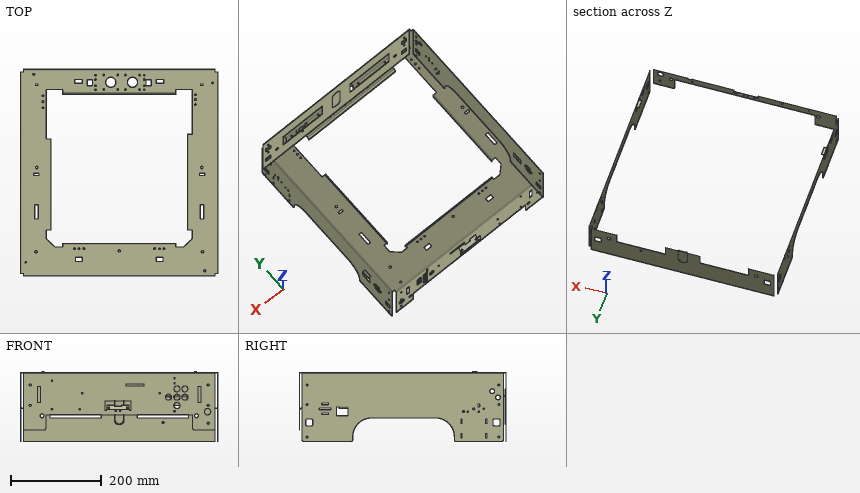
import cadquery as cq
import math

length_x = 435.0
length_y = 455.0
height = 154.0
sheet = 1.0
bend_inside = 1.0
pin_rise = 2.0

half_x = length_x / 2
half_y = length_y / 2
bottom_z = -height / 2
top_z = height / 2 - pin_rise
bend_outside = bend_inside + sheet

end_wall_half = 210.5
side_wall_half = 221.5
cut_depth = 18.0

screw_hole = 4.0
bolt_hole = 5.0
tapped_hole = 3.5
small_hole = 3.0
rivet_hole = 2.55
pilot_hole = 2.0



def plane_front(y):
    return cq.Workplane("XZ", origin=(0, y, 0))


def plane_side(x):
    return cq.Workplane("YZ", origin=(x, 0, 0))


def plane_top():
    return cq.Workplane("XY", origin=(0, 0, top_z - sheet / 2))


def round_cutters(plane, spots, diameter):
    return plane.pushPoints(spots).circle(diameter / 2).extrude(cut_depth / 2, both=True)


def box_cutters(plane, spots, size):
    return plane.pushPoints(spots).rect(*size).extrude(cut_depth / 2, both=True)


def mirrored(spots):
    return spots + [(-across, up) for across, up in spots]


def block(x0, x1, y0, y1, z0, z1):
    return cq.Workplane("XY").box(x1 - x0, y1 - y0, z1 - z0, centered=False).translate((x0, y0, z0))




def channel(width_x, width_y, bend_axis):
    tall = top_z - bottom_z
    hollow_x = width_x - (2 * sheet if bend_axis == "Y" else 0)
    hollow_y = width_y - (2 * sheet if bend_axis == "X" else 0)
    outer = cq.Workplane("XY").box(width_x, width_y, tall)
    outer = outer.faces(">Z").edges("|" + bend_axis).fillet(bend_outside)
    inner = cq.Workplane("XY").box(hollow_x, hollow_y, tall)
    inner = inner.faces(">Z").edges("|" + bend_axis).fillet(bend_inside)
    return outer.cut(inner.translate((0, 0, -sheet))).translate((0, 0, bottom_z + tall / 2))


opening_half_x = 160.0
opening_back_y = 182.5
side_lip_x = 149.5
back_lip_y = 172.5
front_lip_y = -155.0
end_lip_half = 124.5
lip_front_end = -126.0
left_lip_back_end = 74.5
right_lip_back_end = 85.0
lip_drop = 9.0
back_lip_bend = 4.0


def opening_cutter():
    diagonal_start_y = -145.0
    diagonal_end_x = 141.5
    relief_y = -163.0
    side_edge_x = side_lip_x + bend_outside
    front_edge_y = front_lip_y - bend_outside
    back_edge_y = back_lip_y + back_lip_bend
    points = [
        (end_lip_half, opening_back_y),
        (opening_half_x, opening_back_y),
        (opening_half_x, right_lip_back_end),
        (side_edge_x, right_lip_back_end),
        (side_edge_x, lip_front_end),
        (opening_half_x, lip_front_end),
        (opening_half_x, diagonal_start_y),
        (diagonal_end_x, relief_y),
        (end_lip_half, relief_y),
        (end_lip_half, front_edge_y),
        (-end_lip_half, front_edge_y),
        (-end_lip_half, relief_y),
        (-diagonal_end_x, relief_y),
        (-opening_half_x, diagonal_start_y),
        (-opening_half_x, lip_front_end),
        (-side_edge_x, lip_front_end),
        (-side_edge_x, left_lip_back_end),
        (-opening_half_x, left_lip_back_end),
        (-opening_half_x, opening_back_y),
        (-end_lip_half, opening_back_y),
        (-end_lip_half, back_edge_y),
        (end_lip_half, back_edge_y),
    ]
    return plane_top().polyline(points).close().extrude(cut_depth / 2, both=True)


def lip(length, bend):
    """A bent lip along +X whose lower, upright face looks towards -Y at y = 0."""
    return (
        cq.Workplane("YZ")
        .moveTo(bend, top_z)
        .radiusArc((0, top_z - bend), -bend)
        .lineTo(0, top_z - lip_drop)
        .lineTo(sheet, top_z - lip_drop)
        .lineTo(sheet, top_z - bend)
        .radiusArc((bend, top_z - sheet), bend - sheet)
        .close()
        .extrude(length)
    )


def opening_lips():
    placements = [
        (2 * end_lip_half, back_lip_bend, 0, (-end_lip_half, back_lip_y, 0)),
        (2 * end_lip_half, bend_outside, 180, (end_lip_half, front_lip_y, 0)),
        (left_lip_back_end - lip_front_end, bend_outside, 90, (-side_lip_x, lip_front_end, 0)),
        (right_lip_back_end - lip_front_end, bend_outside, -90, (side_lip_x, right_lip_back_end, 0)),
    ]
    lips = cq.Workplane("XY")
    for length, bend, turn, start in placements:
        lips = lips.add(lip(length, bend).rotate((0, 0, 0), (0, 0, 1), turn).translate(start))
    return lips.combine()


left_pin = (-168.0, 156.0)
right_pin = (167.5, 160.5)
pin_diameter = 4.5
fan_hole = 22.0
fan_screw_across = 15.5
fan_screw_up = 16.0
centre_hole = 4.5
oblong_hole = (5.0, 3.0)
plug_opening = (16.5, 7.7)
socket_opening = (11.5, 12.7)
short_slot = (11.0, 4.5)
long_slot = (7.0, 31.0)
front_opening = (14.5, 8.5)


def top_plate_cutters():
    plane = plane_top()
    fan_holes = [(-18.5, 199.0), (29.0, 199.0)]
    fan_screws = [
        (x + sx * fan_screw_across, y + sy * fan_screw_up)
        for x, y in fan_holes
        for sx in (-1, 1)
        for sy in (-1, 1)
    ]
    socket_screws = [(x, y) for x in (-52.5, 55.0) for y in (182.5, 191.0, 204.8, 214.5)]
    pin_side_holes = [(-168.0, 169.3), (-168.0, 143.0), (167.5, 171.5), (167.5, 149.5)]
    corner_holes = [(-205.5, -197.0), (205.0, 197.5)]
    front_row_middle = mirrored([(88.3, -167.0)])
    front_row_ends = mirrored([(78.0, -167.0), (98.5, -167.0)])
    small_holes = fan_screws + socket_screws + pin_side_holes + corner_holes + front_row_middle
    return [
        round_cutters(plane, fan_holes, fan_hole),
        round_cutters(plane, small_holes, small_hole),
        round_cutters(plane, front_row_ends, tapped_hole),
        round_cutters(plane, [(-188.0, 216.0), (188.0, -215.5)], screw_hole),
        round_cutters(plane, mirrored([(181.5, 11.5), (183.0, -174.0)]), bolt_hole),
        round_cutters(plane, [(0, -172.0)], centre_hole),
        box_cutters(plane, mirrored([(181.5, 193.5)]), oblong_hole),
        box_cutters(plane, mirrored([(89.5, 200.5)]), plug_opening),
        box_cutters(plane, mirrored([(64.5, 198.0)]), socket_opening),
        box_cutters(plane, mirrored([(182.0, -3.5)]), short_slot),
        box_cutters(plane, mirrored([(182.0, -86.0)]), long_slot),
        box_cutters(plane, mirrored([(88.5, -190.5)]), front_opening),
    ]


def pins():
    base = cq.Workplane("XY", origin=(0, 0, top_z - sheet))
    return base.pushPoints([left_pin, right_pin]).circle(pin_diameter / 2).extrude(sheet + pin_rise)


corner_screws = mirrored([(195.5, 48.0), (195.5, 2.7)])
cable_holes = mirrored([(169.5, -20.0)])
cable_hole = 8.0
square_hole = (14.5, 14.5)
square_hole_radius = 2.0

front_y = -half_y + sheet / 2
foot_z = -51.5
front_edge_z = -17.7
foot_inner_x = 161.5
foot_corner_radius = 3.5
gap_corner_radius = 2.5
window_x0 = -31.0
window_x1 = 25.5
window_z0 = -6.0
window_z1 = 12.7
slit = (2.7, 5.5)
flap_inset = 4.0
flap_reach = 12.0
flap_rise = 10.0
flap_notch_width = 14.5
flap_notch_depth = 2.7
flap_hole_inset = 4.0
flap_hole_reach = 5.0
flap_root_across = 4.5
flap_root_z = -9.0
strap_slot = (7.5, 35.0)
card_slot = (40.0, 3.5)
button_hole = 13.0
lock_hole = 14.0


def front_outline_cutters():
    below_feet = block(-half_x, half_x, -half_y, -half_y + cut_depth, bottom_z, foot_z)
    gap = block(-foot_inner_x, foot_inner_x, -half_y, -half_y + cut_depth, foot_z, front_edge_z)
    return [below_feet, gap.faces(">Z").edges("|Y").fillet(gap_corner_radius)]


def front_wall_cutters():
    plane = plane_front(front_y)
    window_mid = ((window_x0 + window_x1) / 2, (window_z0 + window_z1) / 2)
    window = (window_x1 - window_x0, window_z1 - window_z0)
    slit_spots = [(window_x0 + slit[0] / 2, window_z0), (window_x1 - slit[0] / 2, window_z0)]
    flap_root_holes = [(window_mid[0] + side * flap_root_across, flap_root_z) for side in (-1, 1)]
    buttons = [(108.5, 21.0), (127.0, 21.0), (144.2, 21.0), (127.0, 39.0), (144.2, 39.0), (127.0, 2.7)]
    button_screws = [(121.5, 63.0), (121.5, 51.5), (121.5, -10.0)]
    return [
        box_cutters(plane, [window_mid], window),
        box_cutters(plane, slit_spots, slit),
        box_cutters(plane, mirrored([(176.5, 26.5)]), strap_slot),
        box_cutters(plane, [(34.5, 48.0)], card_slot),
        round_cutters(plane, buttons, button_hole),
        round_cutters(plane, [(194.5, -11.0)], lock_hole),
        round_cutters(plane, cable_holes, cable_hole),
        round_cutters(plane, corner_screws + [(195.5, -36.5)], screw_hole),
        round_cutters(plane, [(-81.5, 29.5), (88.5, 29.5)], tapped_hole),
        round_cutters(plane, button_screws + flap_root_holes + [(-148.0, 57.5)], small_hole),
        round_cutters(plane, [(-148.0, -5.5), (-86.5, -5.5)], rivet_hole),
    ]


def window_flap():
    flap_x0 = window_x0 + flap_inset
    flap_x1 = window_x1 - flap_inset
    flap_mid = (flap_x0 + flap_x1) / 2
    upright = sheet / math.cos(math.atan2(flap_rise, flap_reach))
    tip_y = -half_y + flap_reach
    flap = (
        plane_side(flap_x0)
        .moveTo(-half_y, window_z0 - upright)
        .lineTo(tip_y, window_z0 + flap_rise - upright)
        .lineTo(tip_y, window_z0 + flap_rise)
        .lineTo(-half_y, window_z0)
        .close()
        .extrude(flap_x1 - flap_x0)
    )
    notch = block(
        flap_mid - flap_notch_width / 2, flap_mid + flap_notch_width / 2,
        tip_y - flap_notch_depth, tip_y,
        window_z0, window_z1,
    )
    holes = (
        cq.Workplane("XY", origin=(0, -half_y + flap_hole_reach, window_z0))
        .pushPoints([(flap_x0 + flap_hole_inset, 0), (flap_x1 - flap_hole_inset, 0)])
        .circle(small_hole / 2)
        .extrude(flap_rise)
    )
    return flap.cut(notch).cut(holes)


back_y = half_y - sheet / 2
bay_x0 = 40.0
bay_x1 = 152.0
bay_z0 = -24.5
shelf_z = 23.5
panel_y = 219.5
panel_x0 = 42.8
panel_x1 = 149.2
panel_z0 = 2.5
panel_screw_z = 15.5
panel_screw_across = 38.0
tongue_x0 = 94.5
tongue_x1 = 119.5
tongue_slit_left = 4.5
tongue_slit_right = 1.5
boss_z = 14.5
boss_diameter = 16.0
boss_rise = 0.5
back_corner_radius = 2.5
bead_width = 22.0
bead_length = 79.0
bead_rise = 2.0
bead_slope = 1.77


def back_wall_cutters():
    plane = plane_front(back_y)
    bay_mid = ((bay_x0 + bay_x1) / 2, (bay_z0 + shelf_z) / 2)
    bay = (bay_x1 - bay_x0, shelf_z - bay_z0)
    squares = box_cutters(plane, mirrored([(195.0, 25.0), (195.0, -34.0)]), square_hole)
    return [
        box_cutters(plane, mirrored([bay_mid]), bay),
        squares.edges("|Y").fillet(square_hole_radius),
        round_cutters(plane, cable_holes, cable_hole),
        round_cutters(plane, corner_screws + [(96.5, -34.5)], screw_hole),
    ]


def hanging_panel():
    panel_mid = (panel_x0 + panel_x1) / 2
    folded = (
        block(panel_x0, panel_x1, panel_y, half_y, panel_z0, shelf_z)
        .faces("<Y").edges(">Z").fillet(bend_outside)
    )
    hollow = (
        block(panel_x0, panel_x1, panel_y + sheet, half_y, panel_z0, shelf_z - sheet)
        .faces("<Y").edges(">Z").fillet(bend_inside)
    )
    screws = [(panel_mid + side * panel_screw_across, panel_screw_z) for side in (-1, 1)]
    screw_cutters = round_cutters(plane_front(panel_y), screws, tapped_hole)
    return folded.cut(hollow).cut(screw_cutters)


def add_tongue(panel):
    slit_top = shelf_z - bend_outside
    spans = [(tongue_x0 - tongue_slit_left, tongue_x0), (tongue_x1, tongue_x1 + tongue_slit_right)]
    for x0, x1 in spans:
        panel = panel.cut(block(x0, x1, panel_y, panel_y + sheet, panel_z0, slit_top))
    boss_x = (tongue_x0 + tongue_x1) / 2
    boss = (
        plane_front(panel_y + sheet)
        .center(boss_x, boss_z)
        .circle(boss_diameter / 2)
        .extrude(sheet + boss_rise)
    )
    return panel.union(boss)


def stiffening_bead():
    bead = plane_front(half_y).slot2D(bead_length, bead_width, 90).extrude(sheet + bead_rise)
    return bead.faces("<Y").chamfer(bead_slope)


arch_back_y = 113.5
arch_front_y = -109.5
arch_z = -25.0
arch_radius = 41.0
side_corner_radius = 4.5


def arch_cutter():
    return (
        plane_side(-half_x)
        .moveTo(arch_front_y, bottom_z)
        .lineTo(arch_front_y, arch_z - arch_radius)
        .radiusArc((arch_front_y + arch_radius, arch_z), arch_radius)
        .lineTo(arch_back_y - arch_radius, arch_z)
        .radiusArc((arch_back_y, arch_z - arch_radius), arch_radius)
        .lineTo(arch_back_y, bottom_z)
        .close()
        .extrude(length_x)
    )


tab_window_y0 = -145.5
tab_window_y1 = -120.5
tab_window_z0 = -19.5
tab_window_z1 = -1.0
tab_z = -2.7
tab_reach = 7.5
tab_inset = 5.5
vent_y = -170.5
short_vent = (14.5, 3.0)
long_vent = (25.5, 3.0)
key_slot = (3.0, 6.5)
tie_slot = (5.0, 2.0)
hanger_slot = (2.7, 9.0)
bush_hole = 10.0


def side_wall_cutters(x):
    plane = plane_side(x)
    window_mid = ((tab_window_y0 + tab_window_y1) / 2, (tab_window_z0 + tab_window_z1) / 2)
    window = (tab_window_y1 - tab_window_y0, tab_window_z1 - tab_window_z0)
    wall_screws = [(y, z) for y in (211.0, -210.0) for z in (48.0, 4.5, -67.0)]
    squares = box_cutters(plane, [(206.0, -34.5), (-205.5, -34.5)], square_hole)
    return [
        squares.edges("|X").fillet(square_hole_radius),
        box_cutters(plane, [window_mid], window),
        box_cutters(plane, [(vent_y, 6.5), (vent_y, -15.5)], short_vent),
        box_cutters(plane, [(vent_y, -4.5)], long_vent),
        box_cutters(plane, [(167.5, 2.7)], key_slot),
        round_cutters(plane, [(196.5, 34.0), (209.5, 20.5)], bush_hole),
        round_cutters(plane, wall_screws + [(133.8, -10.5), (156.0, -4.5)], tapped_hole),
        round_cutters(plane, [(178.0, -4.5), (167.5, -11.0), (143.0, -11.0)], rivet_hole),
    ]


def left_wall_tie_holes():
    plane = plane_side(-half_x + sheet / 2)
    return [
        box_cutters(plane, [(136.0, -26.0)], tie_slot),
        round_cutters(plane, [(142.5, -40.0)], small_hole),
        round_cutters(plane, [(148.0, -26.0)], pilot_hole),
    ]


def right_wall_slots():
    spots = [(y, z) for y in (183.5, 129.0) for z in (-32.0, -63.5)]
    return box_cutters(plane_side(half_x - sheet / 2), spots, hanger_slot)


def window_tab(side):
    tab_y0 = tab_window_y0 + tab_inset
    tab = block(half_x - tab_reach, half_x, tab_y0, tab_window_y1, tab_z - sheet, tab_z)
    root = block(half_x - sheet, half_x, tab_y0, tab_window_y1, tab_z - sheet, tab_window_z1)
    bent_tab = tab.union(root)
    return bent_tab if side > 0 else bent_tab.mirror("YZ")




def end_channel():
    shell = channel(2 * end_wall_half, length_y, "X")
    shell = shell.faces("<Z").edges("|Y").fillet(back_corner_radius)
    for cutter in front_outline_cutters():
        shell = shell.cut(cutter)
    foot_corners = cq.selectors.BoxSelector(
        (-half_x, -half_y - sheet, foot_z - sheet), (half_x, -half_y + 2 * sheet, foot_z + sheet)
    )
    return shell.edges(foot_corners).edges("|Y").fillet(foot_corner_radius)


def side_channel():
    shell = channel(length_x, 2 * side_wall_half, "Y").cut(arch_cutter())
    return shell.faces("<Z").edges("|X").fillet(side_corner_radius)


body = end_channel().union(side_channel())
body = body.cut(opening_cutter()).union(opening_lips())

cutters = top_plate_cutters() + front_wall_cutters() + back_wall_cutters()
for wall_side in (-1, 1):
    cutters += side_wall_cutters(wall_side * (half_x - sheet / 2))
cutters += left_wall_tie_holes()
cutters.append(right_wall_slots())
cutter_solids = [solid for cutter in cutters for solid in cutter.solids().vals()]
body = cq.Workplane(body.val().cut(*cutter_solids))

body = body.union(pins()).union(window_flap()).union(stiffening_bead())
right_panel = hanging_panel()
body = body.union(right_panel.mirror("YZ")).union(add_tongue(right_panel))

for wall_side in (-1, 1):
    body = body.union(window_tab(wall_side))

result = body